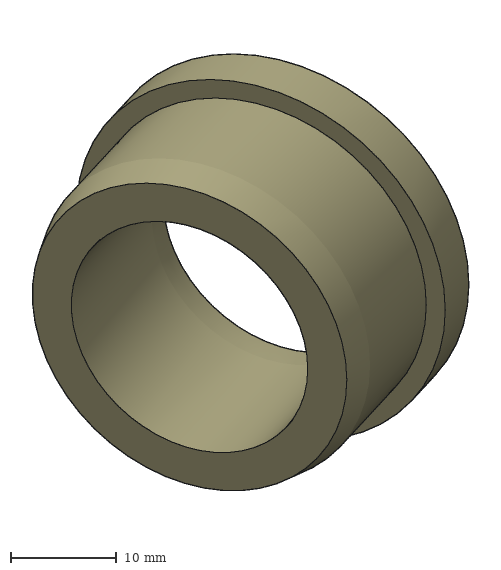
import cadquery as cq

flange_diameter = 39.0
flange_thickness = 5.0
body_diameter = 35.0
bore_diameter = 25.0
total_length = 20.0
lead_in_length = 3.25
lead_in_depth = 0.85
mouth_length = 3.0
mouth_depth = 0.292

flange_radius = flange_diameter / 2
body_radius = body_diameter / 2
bore_radius = bore_diameter / 2
mouth_radius = bore_radius + mouth_depth
nose_radius = body_radius - lead_in_depth
flange_face = total_length - flange_thickness

half_section = [
    (bore_radius, 0),
    (nose_radius, 0),
    (body_radius, lead_in_length),
    (body_radius, flange_face),
    (flange_radius, flange_face),
    (flange_radius, total_length),
    (mouth_radius, total_length),
    (bore_radius, total_length - mouth_length),
]

result = (
    cq.Workplane("XY")
    .polyline(half_section)
    .close()
    .revolve(360, (0, 0, 0), (0, 1, 0))
)